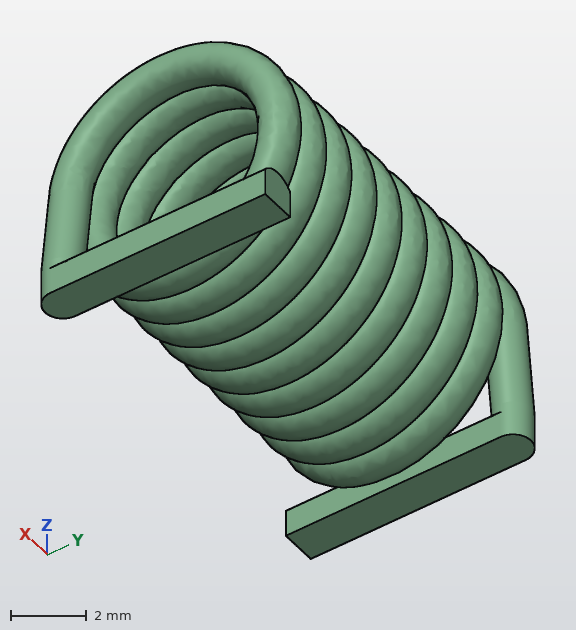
import cadquery as cq

length = 12.71
outer_diameter = 7.49
wire_diameter = 1.15
coil_span = 10.93
full_turns = 9
last_turn = 0.5
foot_side_height = 0.86

wire_radius = wire_diameter / 2
outer_radius = outer_diameter / 2
coil_radius = outer_radius - wire_radius
pitch = coil_span / (full_turns + last_turn)
coil_start_x = -coil_span / 2
foot_x = -length / 2 + wire_radius
foot_bottom_z = -outer_radius
foot_top_z = foot_bottom_z + wire_diameter


def make_winding(start_turn, turn_count):
    """Round wire swept along part of the helix, beginning on the +Y side."""
    helix = cq.Wire.makeHelix(pitch, turn_count * pitch, coil_radius)
    helix = helix.rotate(cq.Vector(0, 0, 0), cq.Vector(1, 1, 1), 120)
    profile = cq.Workplane("XY", origin=(0, coil_radius, 0)).circle(wire_radius)
    winding = profile.sweep(cq.Workplane(obj=helix), isFrenet=True)
    return winding.translate((coil_start_x + start_turn * pitch, 0, 0))


def make_end():
    """Slanted leg, round post and arched foot at the -X end."""
    leg = (
        cq.Workplane("XY", origin=(foot_x, coil_radius, foot_top_z))
        .circle(wire_radius)
        .workplane(offset=-foot_top_z)
        .center(coil_start_x - foot_x, 0)
        .circle(wire_radius)
        .loft(ruled=True)
    )
    post = (
        cq.Workplane("XY", origin=(foot_x, coil_radius, foot_bottom_z))
        .circle(wire_radius)
        .extrude(wire_diameter)
    )
    foot = (
        cq.Workplane("XZ", origin=(foot_x, coil_radius, foot_bottom_z))
        .moveTo(-wire_radius, 0)
        .lineTo(wire_radius, 0)
        .lineTo(wire_radius, foot_side_height)
        .threePointArc((0, wire_diameter), (-wire_radius, foot_side_height))
        .close()
        .extrude(coil_radius + outer_radius)
    )
    return post.union(foot).union(leg)


first_end = make_end()
second_end = first_end.rotate((0, 0, 0), (0, 0, 1), 180)

result = first_end
for turn in range(full_turns):
    result = result.union(make_winding(turn, 1), clean=False)
result = result.union(make_winding(full_turns, last_turn), clean=False)
result = result.union(second_end, clean=False)